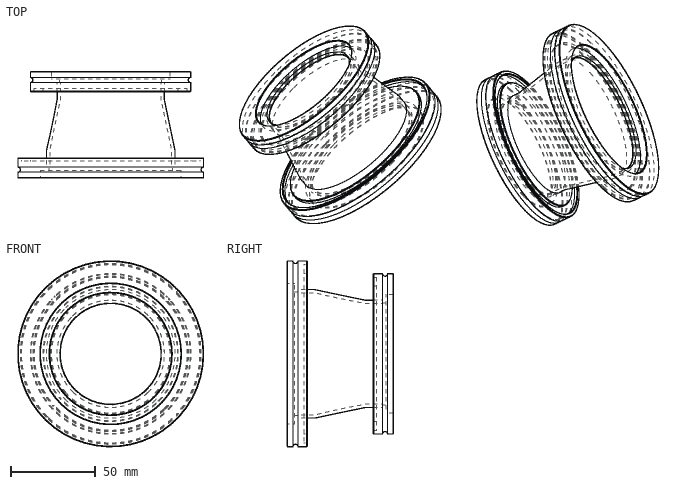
import cadquery as cq


overall_length = 63.0

flange_thickness = 12.0
edge_chamfer = 0.4
rim_groove_radius = 1.5
rim_groove_offset = 5.0
recess_depth = 4.5
lip_thickness = 2.0
lip_clearance = 0.4
back_groove_depth = 2.0
back_rim_width = 2.3
back_groove_width = 5.2

large_flange_radius = 110.0 / 2
large_recess_radius = 83.0 / 2
small_flange_radius = 95.0 / 2
small_recess_radius = 70.0 / 2

wall = 2.0
large_tube_radius = 76.1 / 2
small_tube_radius = 63.5 / 2
straight_neck = 4.5
tube_end_inset = recess_depth + lip_thickness


def make_flange(outer_radius, recess_radius, tube_radius):
    """Flange with its sealing face at Y = 0 and its back face towards +Y."""
    lip_radius = tube_radius - wall + lip_clearance
    groove_start = rim_groove_offset - rim_groove_radius
    groove_end = rim_groove_offset + rim_groove_radius
    back_groove_outer = outer_radius - back_rim_width
    back_groove_inner = back_groove_outer - back_groove_width
    back_groove_floor = flange_thickness - back_groove_depth
    profile = (
        cq.Workplane("XY")
        .moveTo(lip_radius, recess_depth)
        .lineTo(recess_radius, recess_depth)
        .lineTo(recess_radius, edge_chamfer)
        .lineTo(recess_radius + edge_chamfer, 0)
        .lineTo(outer_radius - edge_chamfer, 0)
        .lineTo(outer_radius, edge_chamfer)
        .lineTo(outer_radius, groove_start)
        .threePointArc((outer_radius - rim_groove_radius, rim_groove_offset), (outer_radius, groove_end))
        .lineTo(outer_radius, flange_thickness - edge_chamfer)
        .lineTo(outer_radius - edge_chamfer, flange_thickness)
        .lineTo(back_groove_outer + edge_chamfer, flange_thickness)
        .lineTo(back_groove_outer, flange_thickness - edge_chamfer)
        .lineTo(back_groove_outer, back_groove_floor)
        .lineTo(back_groove_inner, back_groove_floor)
        .lineTo(back_groove_inner, flange_thickness - edge_chamfer)
        .lineTo(back_groove_inner - edge_chamfer, flange_thickness)
        .lineTo(tube_radius, flange_thickness)
        .lineTo(tube_radius, tube_end_inset)
        .lineTo(lip_radius, tube_end_inset)
        .close()
    )
    return profile.revolve(360, (0, 0, 0), (0, 1, 0))


def make_tube():
    """Thin reducer tube: a cone between two short cylinders that enter the flanges."""
    large_end = tube_end_inset
    cone_start = flange_thickness + straight_neck
    cone_end = overall_length - cone_start
    small_end = overall_length - tube_end_inset
    profile = (
        cq.Workplane("XY")
        .moveTo(large_tube_radius, large_end)
        .lineTo(large_tube_radius, cone_start)
        .lineTo(small_tube_radius, cone_end)
        .lineTo(small_tube_radius, small_end)
        .lineTo(small_tube_radius - wall, small_end)
        .lineTo(small_tube_radius - wall, cone_end)
        .lineTo(large_tube_radius - wall, cone_start)
        .lineTo(large_tube_radius - wall, large_end)
        .close()
    )
    return profile.revolve(360, (0, 0, 0), (0, 1, 0))


large_flange = make_flange(large_flange_radius, large_recess_radius, large_tube_radius)

small_flange = (
    make_flange(small_flange_radius, small_recess_radius, small_tube_radius)
    .rotate((0, 0, 0), (0, 0, 1), 180)
    .translate((0, overall_length, 0))
)

tube = make_tube()

result = cq.Compound.makeCompound([large_flange.val(), small_flange.val(), tube.val()])